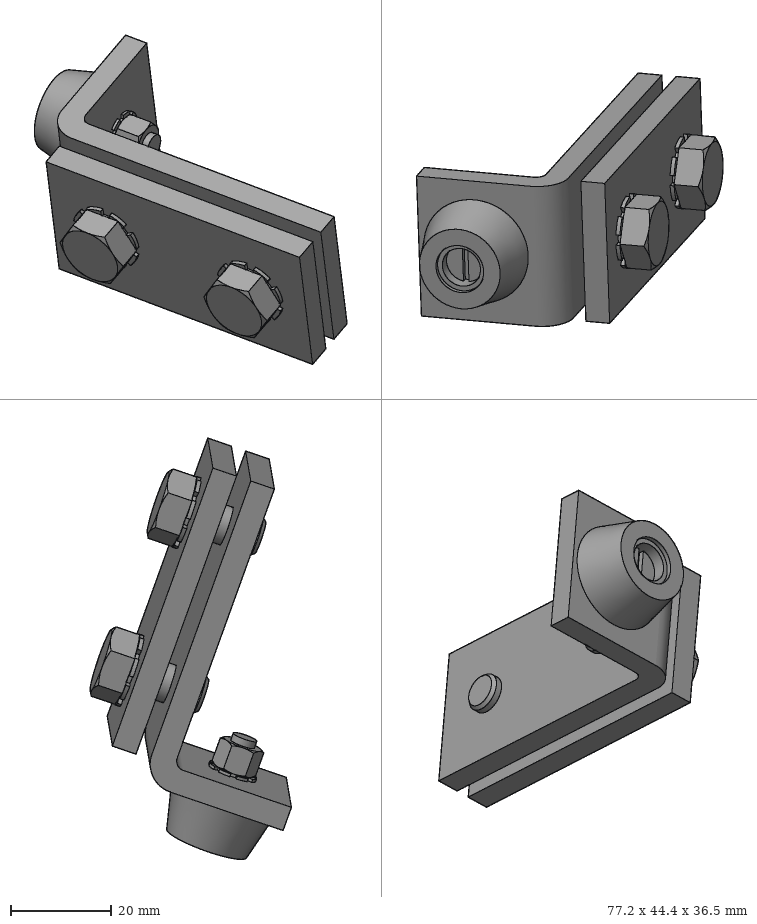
import cadquery as cq
import math

TILT = 5.9

THICKNESS = 5.0
HEIGHT = 29.95
ARM_LENGTH = 65.0
FLANGE_LENGTH = 29.95
OUTER_BEND_RADIUS = 6.0
INNER_BEND_RADIUS = 2.0
PLATE_LENGTH = 60.0
PLATE_GAP = 3.0
PLATE_FRONT = -PLATE_GAP - THICKNESS

BOLT_DIAMETER = 7.95
BOLT_HEAD_FLATS = 13.0
BOLT_TIP_CHAMFER = 0.6
BOLT_TIP_CHAMFER_LENGTH = 0.8
BOLT_PROTRUSION = 2.2
BOLT_END_MARGIN = 13.0
BOLT_POSITIONS = [ARM_LENGTH - PLATE_LENGTH + BOLT_END_MARGIN, ARM_LENGTH - BOLT_END_MARGIN]

HEX_HEIGHT = 5.6
HEX_CHAMFER_ANGLE = 30

BOLT_WASHER_THICKNESS = 0.85
NUT_WASHER_THICKNESS = 0.6
BOLT_WASHER_DIAMETER = 15.0
NUT_WASHER_DIAMETER = 10.0
TOOTH_COUNT = 8
TOOTH_GAP_ANGLE = 16
TOOTH_ROOT_RATIO = 0.8

FLANGE_AXIS_MARGIN = 12.05
FLANGE_AXIS_Y = FLANGE_LENGTH - FLANGE_AXIS_MARGIN
BUSHING_LENGTH = 10.2
BUSHING_BASE_DIAMETER = 22.0
BUSHING_END_DIAMETER = 17.0
BUSHING_MOUTH_DIAMETER = 10.0
BUSHING_MOUTH_DEPTH = 1.0

SCREW_DIAMETER = 5.0
SCREW_HEAD_DIAMETER = 8.0
SCREW_HEAD_HEIGHT = 3.0
SCREW_HEAD_RECESS = 3.6
SCREW_HEAD_SEAT = SCREW_HEAD_RECESS + SCREW_HEAD_HEIGHT
SCREW_SLOT_WIDTH = 1.15
SCREW_SLOT_DEPTH = 1.15
SCREW_PROTRUSION = 1.5
NUT_FLATS = 8.0


def cylinder(diameter, start, end):
    """Cylinder on the Z axis between two heights."""
    return cq.Workplane("XY").workplane(offset=start).circle(diameter / 2).extrude(end - start)


def along_y(body, x, y):
    """Turn a body standing on Z so that it points along -Y, and move it to (x, y)."""
    return body.rotate((0, 0, 0), (1, 0, 0), 90).translate((x, y, 0))


def along_x(body, x):
    """Turn a body standing on Z so that it points along +X on the flange axis."""
    return body.rotate((0, 0, 0), (0, 1, 0), 90).translate((x, FLANGE_AXIS_Y, 0))


def chamfered_hex(flats, chamfer_base):
    """Hexagonal prism standing on z = 0, its upper corners, and lower if asked, turned to a cone."""
    corner_radius = flats / math.sqrt(3)
    drop = (corner_radius - flats / 2) * math.tan(math.radians(HEX_CHAMFER_ANGLE))
    prism = cq.Workplane("XY").polygon(6, 2 * corner_radius).extrude(HEX_HEIGHT)
    lower = [(flats / 2, 0), (corner_radius, drop)] if chamfer_base else [(corner_radius, 0)]
    upper = [(corner_radius, HEX_HEIGHT - drop), (flats / 2, HEX_HEIGHT)]
    envelope = (
        cq.Workplane("XZ")
        .polyline([(0, 0)] + lower + upper + [(0, HEX_HEIGHT)])
        .close()
        .revolve(360, (0, 0), (0, 1))
    )
    return prism.intersect(envelope)


def make_bracket():
    """L-shaped strip with a rounded bend, two bolt holes and a screw hole."""
    bracket = (
        cq.Workplane("XY")
        .polyline([
            (0, 0),
            (ARM_LENGTH, 0),
            (ARM_LENGTH, THICKNESS),
            (THICKNESS, THICKNESS),
            (THICKNESS, FLANGE_LENGTH),
            (0, FLANGE_LENGTH),
        ])
        .close()
        .extrude(HEIGHT / 2, both=True)
    )
    bracket = bracket.edges(cq.selectors.NearestToPointSelector((0, 0, 0))).fillet(OUTER_BEND_RADIUS)
    inner_corner = cq.selectors.NearestToPointSelector((THICKNESS, THICKNESS, 0))
    bracket = bracket.edges(inner_corner).fillet(INNER_BEND_RADIUS)
    for x in BOLT_POSITIONS:
        bracket = bracket.cut(along_y(cylinder(BOLT_DIAMETER, 0, THICKNESS), x, THICKNESS))
    return bracket.cut(along_x(cylinder(SCREW_DIAMETER, 0, THICKNESS), 0))


def make_plate():
    """Flat clamp plate with two bolt holes, ending level with the bracket's arm."""
    plate = cq.Workplane("XY").box(PLATE_LENGTH, THICKNESS, HEIGHT, centered=(False, False, True))
    plate = plate.translate((ARM_LENGTH - PLATE_LENGTH, PLATE_FRONT, 0))
    for x in BOLT_POSITIONS:
        plate = plate.cut(along_y(cylinder(BOLT_DIAMETER, 0, THICKNESS), x, PLATE_FRONT + THICKNESS))
    return plate


def make_washer(outer_diameter, hole_diameter, thickness):
    """External-tooth lock washer standing on z = 0."""
    gap_half_width = outer_diameter * math.tan(math.radians(TOOTH_GAP_ANGLE / 2))
    gap = (
        cq.Workplane("XY")
        .polyline([(0, 0), (outer_diameter, -gap_half_width), (outer_diameter, gap_half_width)])
        .close()
        .extrude(thickness)
        .cut(cylinder(TOOTH_ROOT_RATIO * outer_diameter, 0, thickness))
    )
    washer = cylinder(outer_diameter, 0, thickness)
    washer = washer.cut(cylinder(hole_diameter, 0, thickness))
    for tooth in range(TOOTH_COUNT):
        washer = washer.cut(gap.rotate((0, 0, 0), (0, 0, 1), tooth * 360 / TOOTH_COUNT))
    return washer


def make_bolt(x):
    """Hex bolt, its head on the lock washer and its chamfered tip beyond the arm."""
    shank_length = BOLT_WASHER_THICKNESS + THICKNESS + PLATE_GAP + THICKNESS + BOLT_PROTRUSION
    shank = cylinder(BOLT_DIAMETER, -shank_length, 0)
    shank = shank.faces("<Z").chamfer(BOLT_TIP_CHAMFER_LENGTH, BOLT_TIP_CHAMFER)
    bolt = shank.union(chamfered_hex(BOLT_HEAD_FLATS, chamfer_base=False))
    return along_y(bolt, x, PLATE_FRONT - BOLT_WASHER_THICKNESS)


def make_bolt_washer(x):
    """Lock washer under a bolt head, spun so that its teeth are level after the tilt."""
    washer = make_washer(BOLT_WASHER_DIAMETER, BOLT_DIAMETER, BOLT_WASHER_THICKNESS)
    return along_y(washer.rotate((0, 0, 0), (0, 0, 1), -TILT), x, PLATE_FRONT)


def make_bushing():
    """Tapered bushing with a stepped bore in which the screw head sits."""
    bushing = (
        cq.Workplane("XY")
        .circle(BUSHING_END_DIAMETER / 2)
        .workplane(offset=BUSHING_LENGTH)
        .circle(BUSHING_BASE_DIAMETER / 2)
        .loft()
    )
    bushing = bushing.cut(cylinder(BUSHING_MOUTH_DIAMETER, 0, BUSHING_MOUTH_DEPTH))
    bushing = bushing.cut(cylinder(SCREW_HEAD_DIAMETER, 0, SCREW_HEAD_SEAT))
    bushing = bushing.cut(cylinder(SCREW_DIAMETER, 0, BUSHING_LENGTH))
    return along_x(bushing, -BUSHING_LENGTH)


def make_screw():
    """Slotted screw from the bushing through the flange, washer and nut."""
    screw_end = BUSHING_LENGTH + THICKNESS + NUT_WASHER_THICKNESS + HEX_HEIGHT + SCREW_PROTRUSION
    screw = cylinder(SCREW_HEAD_DIAMETER, SCREW_HEAD_RECESS, SCREW_HEAD_SEAT)
    screw = screw.union(cylinder(SCREW_DIAMETER, SCREW_HEAD_SEAT, screw_end))
    slot = (
        cq.Workplane("XY")
        .box(SCREW_HEAD_DIAMETER, SCREW_SLOT_WIDTH, SCREW_SLOT_DEPTH, centered=(True, True, False))
        .translate((0, 0, SCREW_HEAD_RECESS))
    )
    return along_x(screw.cut(slot), -BUSHING_LENGTH)


def make_nut_washer():
    """Lock washer between the flange and the nut."""
    washer = make_washer(NUT_WASHER_DIAMETER, SCREW_DIAMETER, NUT_WASHER_THICKNESS)
    return along_x(washer, THICKNESS)


def make_nut():
    """Hex nut chamfered at both ends, two flats facing up and down."""
    nut = chamfered_hex(NUT_FLATS, chamfer_base=True).cut(cylinder(SCREW_DIAMETER, 0, HEX_HEIGHT))
    return along_x(nut.rotate((0, 0, 0), (0, 0, 1), 90), THICKNESS + NUT_WASHER_THICKNESS)


bodies = [make_bracket(), make_plate(), make_bushing(), make_screw(), make_nut_washer(), make_nut()]
for bolt_x in BOLT_POSITIONS:
    bodies.append(make_bolt(bolt_x))
    bodies.append(make_bolt_washer(bolt_x))

result = cq.Compound.makeCompound([
    body.rotate((0, 0, 0), (0, 1, 0), -TILT).solids().val() for body in bodies
])